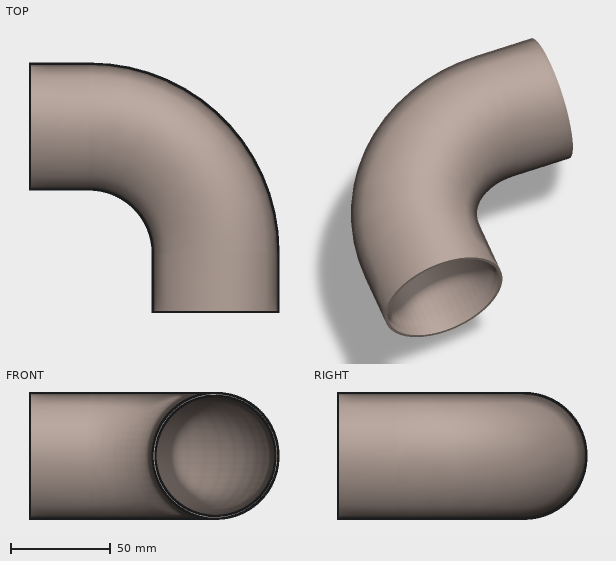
import cadquery as cq

overall_length = 125.2
outer_diameter = 63.5
inner_diameter = 60.5
bend_radius = outer_diameter
bend_angle = 90.0

straight_length = overall_length - bend_radius - outer_diameter / 2


def pipe_section(plane, x, y):
    """Ring-shaped pipe section centred on (x, y, 0)."""
    return (
        cq.Workplane(plane, origin=(x, y, 0))
        .circle(outer_diameter / 2)
        .circle(inner_diameter / 2)
    )


inlet = pipe_section("YZ", -straight_length, bend_radius).extrude(straight_length)
outlet = pipe_section("XZ", bend_radius, 0).extrude(straight_length)

bend = pipe_section("YZ", 0, bend_radius).revolve(
    bend_angle, (-bend_radius, 0, 0), (-bend_radius, -1, 0)
)

result = inlet.union(bend).union(outlet)